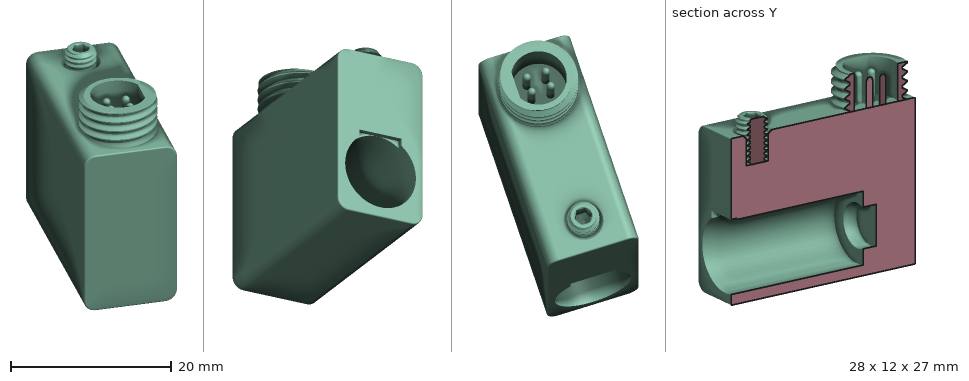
import cadquery as cq
import math

housing_length = 28.0
housing_depth = 12.0
housing_height = 22.0
long_edge_radius = 1.5
end_edge_radius = 0.2

bore_diameter = 10.0
bore_axis_height = 6.3
bore_length = 20.0
inner_bore_diameter = 6.0
inner_bore_length = 2.0
keyway_width = inner_bore_diameter
keyway_length = 0.8

connector_x = 22.0
connector_height = 4.98
connector_crest_diameter = 9.85
connector_root_diameter = 8.45
connector_pitch = connector_height / 4
connector_crest_offset = -0.078
socket_diameter = 7.0
socket_flat_distance = 3.0

pin_diameter = 1.0
pin_height = 4.0
pin_spacing_x = 2.0
pin_spacing_y = 2.5

screw_x = 4.0
screw_crest_diameter = 4.0
screw_root_diameter = 3.33
screw_pitch = 0.7
screw_exposed_height = 2.0
screw_hole_diameter = 4.12
screw_hole_depth = 4.0
screw_countersink_diameter = 5.0
screw_crest_offset = 0.05
screw_rim_diameter = 3.15
hexagon_across_flats = 2.0
hexagon_depth = 2.0
hexagon_tip_diameter = 0.5
hexagon_tip_angle = 120.0
hexagon_lead_in_diameter = 2.32

flank_half_angle = math.radians(30)
crest_width_ratio = 1 / 8
thread_root_overlap = 0.08


def threaded_rod(crest_diameter, root_diameter, pitch, length, crest_offset):
    """Right-handed threaded rod along +Z from Z = 0, cut flat at both ends.

    On the +X side a thread crest lies crest_offset above Z = 0.
    """
    crest_radius = crest_diameter / 2
    base_radius = root_diameter / 2 - thread_root_overlap
    half_crest = crest_width_ratio * pitch / 2
    half_base = half_crest + (crest_radius - base_radius) * math.tan(flank_half_angle)
    turns_below = 2
    helix_start = crest_offset - turns_below * pitch
    helix_length = (math.ceil(length / pitch) + 2 * turns_below) * pitch

    helix = cq.Wire.makeHelix(pitch, helix_length, base_radius)
    ridge = (
        cq.Workplane("XZ")
        .polyline([
            (base_radius, -half_base),
            (crest_radius, -half_crest),
            (crest_radius, half_crest),
            (base_radius, half_base),
        ])
        .close()
        .sweep(cq.Workplane(obj=helix), isFrenet=True)
        .translate((0, 0, helix_start))
    )
    core = (
        cq.Workplane("XY", origin=(0, 0, helix_start - pitch))
        .circle(root_diameter / 2)
        .extrude(helix_length + 2 * pitch)
    )
    envelope = cq.Workplane("XY").circle(crest_diameter).extrude(length)
    return core.union(ridge).intersect(envelope)


def make_housing():
    block = (
        cq.Workplane("XY")
        .box(housing_length, housing_depth, housing_height, centered=(False, True, False))
        .edges("|X").fillet(long_edge_radius)
        .faces("<X or >X").edges().fillet(end_edge_radius)
    )
    bore_end = cq.Workplane("YZ", origin=(0, 0, bore_axis_height))
    bore = bore_end.circle(bore_diameter / 2).extrude(bore_length)
    inner_bore = bore_end.circle(inner_bore_diameter / 2).extrude(bore_length + inner_bore_length)
    keyway = cq.Workplane("XY").box(
        keyway_length, keyway_width, bore_diameter / 2, centered=(False, True, False)
    ).translate((0, 0, bore_axis_height))

    return (
        block.cut(bore).cut(inner_bore).cut(keyway)
        .faces(">Z").workplane(origin=(screw_x, 0, housing_height))
        .cskHole(screw_hole_diameter, screw_countersink_diameter, 90, depth=screw_hole_depth)
    )


def make_connector():
    rod = threaded_rod(
        connector_crest_diameter, connector_root_diameter, connector_pitch,
        connector_height, connector_crest_offset,
    )
    socket = cq.Workplane("XY").circle(socket_diameter / 2).extrude(connector_height)
    below_flat = cq.Workplane("XY").box(
        socket_diameter, 2 * socket_flat_distance, 2 * connector_height
    ).union(cq.Workplane("XY").box(socket_diameter, socket_diameter, 2 * connector_height)
            .translate((0, socket_flat_distance - socket_diameter / 2, 0)))
    return rod.cut(socket.intersect(below_flat)).translate((connector_x, 0, housing_height))


def make_pin(x, y):
    radius = pin_diameter / 2
    return (
        cq.Workplane("XY", origin=(x, y, housing_height))
        .circle(radius).extrude(pin_height)
        .faces(">Z").edges().fillet(radius * 0.999)
    )


def upright_cone(bottom_diameter, top_diameter, bottom_z, height):
    """Truncated cone on the Z axis."""
    return cq.Workplane(
        cq.Solid.makeCone(bottom_diameter / 2, top_diameter / 2, height, cq.Vector(0, 0, bottom_z))
    )


def hexagon_recess(top_z):
    """Hexagonal socket with a lead-in countersink above and a drill tip below."""
    floor_z = top_z - hexagon_depth
    tip_slope = math.tan(math.radians(hexagon_tip_angle / 2))
    tip_height = (hexagon_across_flats - hexagon_tip_diameter) / 2 / tip_slope
    lead_in_height = (hexagon_lead_in_diameter - hexagon_across_flats) / 2
    prism = (
        cq.Workplane("XY", origin=(0, 0, floor_z))
        .polygon(6, hexagon_across_flats, circumscribed=True)
        .extrude(hexagon_depth)
    )
    tip = upright_cone(hexagon_tip_diameter, hexagon_across_flats, floor_z - tip_height, tip_height)
    lead_in = upright_cone(
        hexagon_across_flats, hexagon_lead_in_diameter, top_z - lead_in_height, lead_in_height
    )
    return prism.union(tip).union(lead_in)


def make_screw():
    length = screw_hole_depth + screw_exposed_height
    rod = threaded_rod(screw_crest_diameter, screw_root_diameter, screw_pitch, length, screw_crest_offset)
    chamfer_envelope = upright_cone(screw_rim_diameter + 2 * length, screw_rim_diameter, 0, length)
    screw = rod.intersect(chamfer_envelope).cut(hexagon_recess(length))
    return screw.translate((screw_x, 0, housing_height - screw_hole_depth))


housing = make_housing()
connector = make_connector()
screw = make_screw()
pins = [
    make_pin(connector_x + sx * pin_spacing_x / 2, sy * pin_spacing_y / 2)
    for sx in (-1, 1)
    for sy in (-1, 1)
]

result = cq.Compound.makeCompound(
    [housing.val(), connector.val(), screw.val(), *[pin.val() for pin in pins]]
)